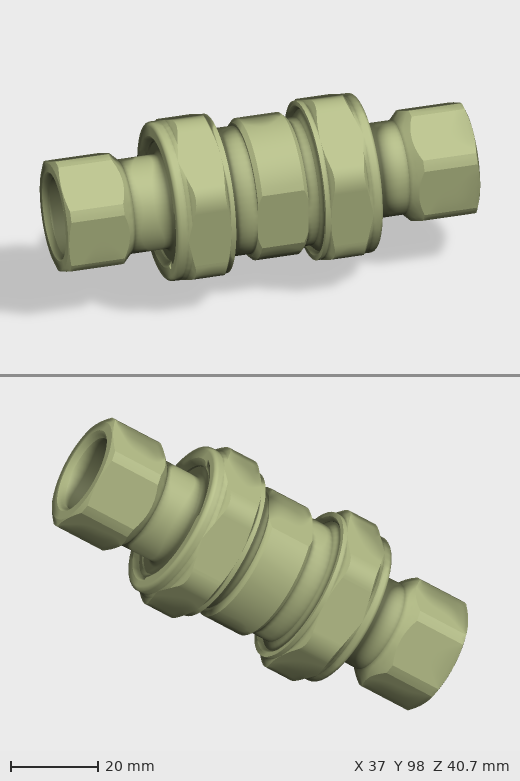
import cadquery as cq
import math


tail_end = 49.0
tail_hex_flats = 25.5
tail_hex_corner_diameter = 28.0
tail_hex_length = 16.35
tail_end_chamfer_width = 1.6
tail_end_chamfer_length = 0.7
tube_diameter = 21.9
tube_root_fillet = 1.0
flange_thickness = 2.4
socket_mouth_diameter = 20.7
socket_diameter = 18.0
socket_bottom_diameter = 17.4
socket_depth = 14.7
waterway_diameter = 15.9

nut_outer_face = 24.4
nut_inner_face = 10.7
nut_flats = 37.0
nut_height = 40.7
nut_outer_collar_length = 2.35
nut_inner_collar_length = 1.2
nut_inner_chamfer_length = 1.1
nut_outer_chamfer_angle = math.radians(53)
nut_chamfer_root_fillet = 1.2
nut_collar_fillet = 1.0
nut_opening_diameter = 27.7
nut_opening_mouth_diameter = 30.5
nut_opening_mouth_depth = 1.1
nut_lip_thickness = 1.6
nut_thread_mouth_diameter = 34.8
nut_pocket_mouth_diameter = 32.3
nut_pocket_floor_diameter = 30.0
nut_pocket_top = 5.6
nut_pocket_bottom = -11.3

thread_diameter = 33.0
neck_diameter = 29.8
neck_end = 10.1
collar_diameter = 33.0
collar_flats = 29.9
collar_length = 11.9
collar_center = 1.5
collar_chamfer = 1.0

lip_inner_face = nut_outer_face - nut_lip_thickness
flange_inner_face = lip_inner_face - flange_thickness
tail_hex_start = tail_end - tail_hex_length
tail_shoulder = (tail_hex_corner_diameter - tube_diameter) / 2
sharp_corner_radius = nut_flats / 2 / math.cos(math.pi / 6)
nut_corner_fillet = (sharp_corner_radius - nut_height / 2) / (1 / math.cos(math.pi / 6) - 1)


def revolved(outline):
    """Solid of revolution about Y from a closed outline of (radius, y) points."""
    return cq.Workplane("XY").polyline(outline).close().revolve(360, (0, 0, 0), (0, 1, 0))


def cylinder(diameter, start, end):
    return cq.Workplane("XZ", origin=(0, start, 0)).circle(diameter / 2).extrude(start - end)


def hexagon(flats, start, end):
    """Hexagonal bar along Y with two flats facing +X and -X."""
    corner_diameter = flats / math.cos(math.pi / 6)
    return (
        cq.Workplane("XZ", origin=(0, start, 0))
        .transformed(rotate=(0, 0, 30))
        .polygon(6, corner_diameter)
        .extrude(start - end)
    )


def tail_hex_end():
    """Hexagon with cut corners, chamfered at the end and sloped to the tube."""
    corner = tail_hex_corner_diameter / 2
    envelope = revolved([
        (0, tail_hex_start),
        (tube_diameter / 2, tail_hex_start),
        (corner, tail_hex_start + tail_shoulder),
        (corner, tail_end - tail_end_chamfer_length),
        (corner - tail_end_chamfer_width, tail_end),
        (0, tail_end),
    ])
    return hexagon(tail_hex_flats, tail_hex_start, tail_end).intersect(envelope)


def tail_bore():
    """Slightly tapered socket with a chamfered mouth, over a plain waterway."""
    socket_floor = tail_end - socket_depth
    mouth_depth = (socket_mouth_diameter - socket_diameter) / 2
    return revolved([
        (0, flange_inner_face),
        (waterway_diameter / 2, flange_inner_face),
        (waterway_diameter / 2, socket_floor),
        (socket_bottom_diameter / 2, socket_floor),
        (socket_diameter / 2, tail_end - mouth_depth),
        (socket_mouth_diameter / 2, tail_end),
        (0, tail_end),
    ])


def make_tailpiece():
    tube = cylinder(tube_diameter, lip_inner_face, tail_hex_start)
    flange = cylinder(thread_diameter, flange_inner_face, lip_inner_face)
    smallest_circles = cq.selectors.RadiusNthSelector(0)
    stem = flange.union(tube).edges(smallest_circles).edges("<Y").fillet(tube_root_fillet)
    return stem.union(tail_hex_end()).cut(tail_bore())


def nut_outside():
    """Round-cornered hexagon chamfered down to a round collar at each end.

    The chamfer at the outer end runs into the collar through a concave fillet.
    """
    hex_start = nut_inner_face + nut_inner_collar_length
    hex_end = nut_outer_face - nut_outer_collar_length
    collar = nut_flats / 2
    corner = nut_height / 2
    chamfer_end_radius = collar + nut_chamfer_root_fillet * (1 - math.cos(nut_outer_chamfer_angle))
    chamfer_end = hex_end - nut_chamfer_root_fillet * math.sin(nut_outer_chamfer_angle)
    chamfer_start = chamfer_end - (corner - chamfer_end_radius) / math.tan(nut_outer_chamfer_angle)
    envelope = (
        cq.Workplane("XY")
        .moveTo(0, hex_start)
        .lineTo(collar, hex_start)
        .lineTo(corner, hex_start + nut_inner_chamfer_length)
        .lineTo(corner, chamfer_start)
        .lineTo(chamfer_end_radius, chamfer_end)
        .tangentArcPoint((collar, hex_end), relative=False)
        .lineTo(0, hex_end)
        .close()
        .revolve(360, (0, 0, 0), (0, 1, 0))
    )
    body = hexagon(nut_flats, hex_start, hex_end).edges("|Y").fillet(nut_corner_fillet).intersect(envelope)
    collars = cylinder(nut_flats, nut_inner_face, nut_outer_face).faces(">Y").edges().fillet(nut_collar_fillet)
    return body.union(collars)


def nut_bore():
    """Threaded bore from the inner face and a narrower opening through the lip."""
    thread_mouth_depth = (nut_thread_mouth_diameter - thread_diameter) / 2
    return revolved([
        (0, nut_inner_face),
        (nut_thread_mouth_diameter / 2, nut_inner_face),
        (thread_diameter / 2, nut_inner_face + thread_mouth_depth),
        (thread_diameter / 2, lip_inner_face),
        (nut_opening_diameter / 2, lip_inner_face),
        (nut_opening_diameter / 2, nut_outer_face - nut_opening_mouth_depth),
        (nut_opening_mouth_diameter / 2, nut_outer_face),
        (0, nut_outer_face),
    ])


def nut_pockets():
    """Two arc pockets, left and right, that widen the lip opening."""
    floor = nut_outer_face - nut_opening_mouth_depth
    cone = revolved([
        (0, floor),
        (nut_pocket_floor_diameter / 2, floor),
        (nut_pocket_mouth_diameter / 2, nut_outer_face),
        (0, nut_outer_face),
    ])
    band_height = nut_pocket_top - nut_pocket_bottom
    band = (
        cq.Workplane("XY")
        .box(nut_flats, nut_flats, band_height)
        .translate((0, nut_outer_face, (nut_pocket_top + nut_pocket_bottom) / 2))
    )
    return cone.intersect(band)


def make_nut():
    return nut_outside().cut(nut_bore()).cut(nut_pockets())


def make_valve_body():
    collar_start = collar_center - collar_length / 2
    collar_end = collar_center + collar_length / 2
    collar = cylinder(collar_diameter, collar_start, collar_end).edges().chamfer(collar_chamfer)
    flats = cq.Workplane("XY").box(collar_flats, collar_length, collar_diameter).translate((0, collar_center, 0))
    neck = cylinder(neck_diameter, -neck_end, neck_end)
    threads = [
        cylinder(thread_diameter, side * neck_end, side * flange_inner_face)
        .faces(cq.selectors.NearestToPointSelector((0, side * neck_end, 0)))
        .edges()
        .chamfer((thread_diameter - neck_diameter) / 2)
        for side in (1, -1)
    ]
    return neck.union(threads[0]).union(threads[1]).union(collar.intersect(flats))


def at_both_ends(part):
    """One copy at the +Y end and one turned half a turn to the -Y end."""
    return [part.rotate((0, 0, 0), (0, 0, 1), angle).val() for angle in (0, 180)]


valve_body = make_valve_body()
tailpieces = at_both_ends(make_tailpiece())
nuts = at_both_ends(make_nut())

result = cq.Compound.makeCompound([valve_body.val(), *tailpieces, *nuts])